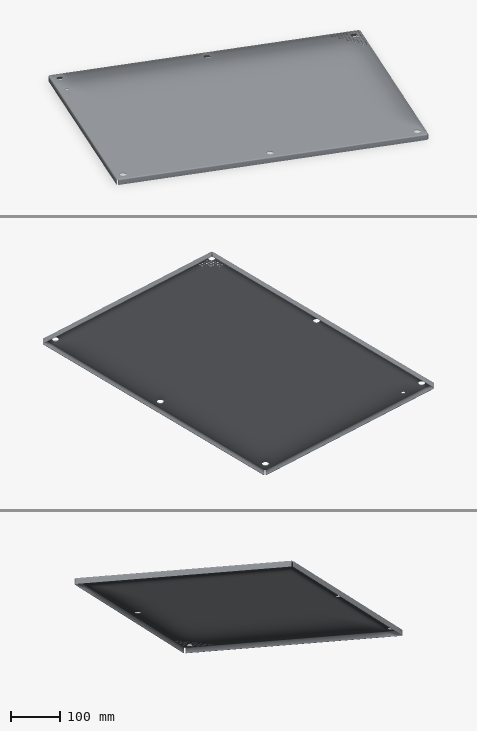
import cadquery as cq

width = 470.0
length = 660.5
height = 12.5

sheet = 1.5
bend_outer = 2.5
bend_inner = bend_outer - sheet
corner_relief = 3.0

mount_diameter = 14.0
mount_inset = 19.0
mount_x = width / 2 - mount_inset
mount_y = length / 2 - mount_inset

small_hole_diameter = 7.0
small_hole_x = -165.0

perforation_diameter = 3.5
perforation_pitch = 6.35
perforation_inset_x = 6.5
perforation_inset_y = 6.35
perforation_rows = 10
step_size = 2

keep_out = (mount_diameter + perforation_diameter) / 2


def bent_block(span, depth, block_height, radius):
    """Solid block along Y with its two long top edges rounded."""
    block = cq.Workplane("XY").box(span, depth, block_height, centered=(True, True, False))
    return block.edges("|Y and >Z").fillet(radius)


def channel(span, depth):
    """Channel open at the bottom, with a flange folded down at each X end."""
    outer = bent_block(span, depth, height, bend_outer)
    inner = bent_block(span - 2 * sheet, depth, height - sheet, bend_inner)
    return outer.cut(inner)


def drill(points, diameter):
    """Vertical cutters through the whole height."""
    return cq.Workplane("XY").pushPoints(points).circle(diameter / 2).extrude(height)


def perforation_points():
    """Hole centres of the stepped patch, clear of the corner mounting hole."""
    points = []
    for row in range(perforation_rows):
        y = length / 2 - perforation_inset_y - row * perforation_pitch
        columns = perforation_rows - step_size * (row // step_size)
        for column in range(columns):
            x = -width / 2 + perforation_inset_x + column * perforation_pitch
            distance = cq.Vector(x, y).sub(cq.Vector(-mount_x, mount_y)).Length
            if distance > keep_out:
                points.append((x, y))
    return points


side_flanges = channel(width, length - 2 * corner_relief)
end_flanges = channel(length, width - 2 * corner_relief).rotate((0, 0, 0), (0, 0, 1), 90)
cover = side_flanges.union(end_flanges)

mount_points = [(x, y) for x in (-mount_x, mount_x) for y in (-mount_y, 0, mount_y)]
cover = cover.cut(drill(mount_points, mount_diameter))
cover = cover.cut(drill([(small_hole_x, -mount_y)], small_hole_diameter))
cover = cover.cut(drill(perforation_points(), perforation_diameter))

result = cover